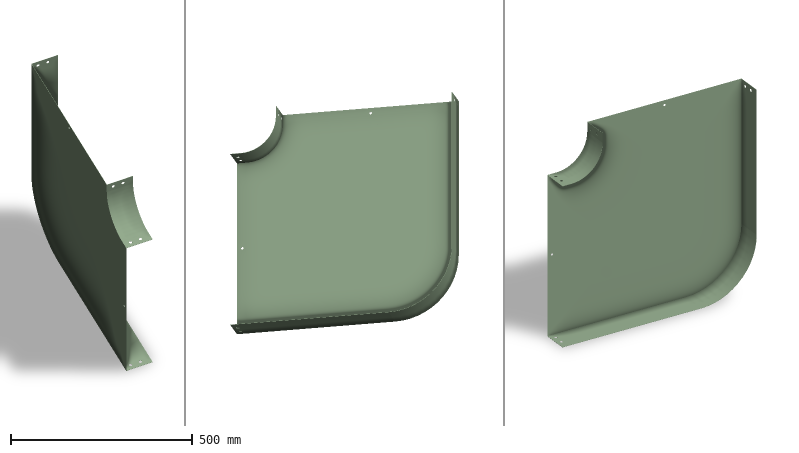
import cadquery as cq
import math

size = 630.0
depth = 80.0
sheet = 0.8
outer_radius = 180.0
inner_radius = 100.0
end_length = 29.5
face_hole_diameter = 7.0
wall_hole_diameter = 9.0
hole_inset = 15.0
front_hole_y = 20.0
rear_hole_y = 50.0

notch = inner_radius + end_length
inner_edge = size - notch
diagonal = math.sqrt(0.5)


def bend_profile(inset):
    """Outline in the XZ plane, with both walls moved inward by inset."""
    corner = outer_radius
    corner_mid = corner - (outer_radius - inset) * diagonal
    edge = inner_edge - inset
    arc_center = size - end_length
    arc_mid = arc_center - (inner_radius + inset) * diagonal
    return (
        cq.Workplane("XZ")
        .moveTo(inset, size)
        .lineTo(inset, corner)
        .threePointArc((corner_mid, corner_mid), (corner, inset))
        .lineTo(size, inset)
        .lineTo(size, edge)
        .lineTo(arc_center, edge)
        .threePointArc((arc_mid, arc_mid), (edge, arc_center))
        .lineTo(edge, size)
        .close()
    )


def drill(center, direction, diameter, length):
    """Cylinder that starts at center and runs along direction."""
    return cq.Workplane(
        cq.Solid.makeCylinder(diameter / 2, length, cq.Vector(*center), cq.Vector(*direction))
    )


body = bend_profile(0).extrude(-depth)
cavity = bend_profile(sheet).extrude(-depth).translate((0, sheet, 0))
result = body.cut(cavity)

hole_line = size - hole_inset
end_middle = inner_edge / 2
for x, z in ((end_middle, hole_line), (hole_line, end_middle)):
    result = result.cut(drill((x, 0, z), (0, 1, 0), face_hole_diameter, depth))

for y in (front_hole_y, rear_hole_y):
    result = result.cut(drill((0, y, hole_line), (1, 0, 0), wall_hole_diameter, size))
    result = result.cut(drill((hole_line, y, 0), (0, 0, 1), wall_hole_diameter, size))